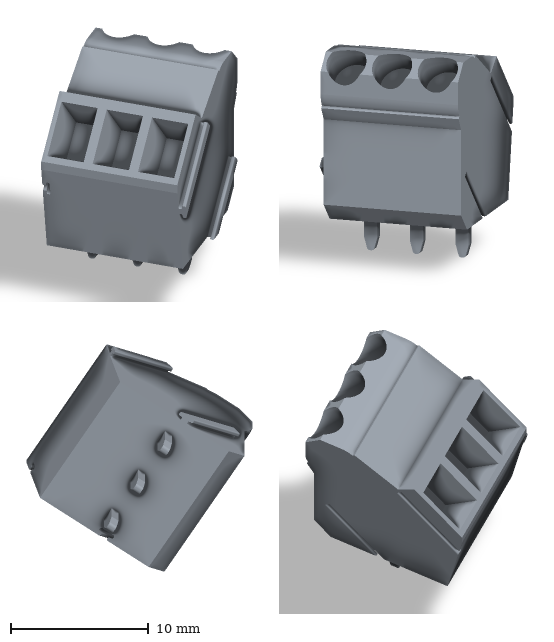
import cadquery as cq
import math


POLE_COUNT = 3
POLE_PITCH = 3.5
FIRST_POLE_X = 1.75
POLE_X = [FIRST_POLE_X + i * POLE_PITCH for i in range(POLE_COUNT)]

HOUSING_WIDTH = 10.51
HOUSING_SIZE = 12.7
BACK_WALL_Y = 12.0
BOTTOM_FRONT_Y = 1.18
BOTTOM_CHAMFER = 1.37
TOP_CORNER_CHAMFER = 1.21
FRONT_BAND_BOTTOM_Z = 6.84
FRONT_FACE_RISE = 3.86
FRONT_FACE_BOTTOM_Z = 7.5
VALLEY = (5.18, 10.41)
BULGE_START = 9.8
BULGE_END = (8.87, 12.42)
LIP_TIP = (8.71, 12.58)
LIP_SLOPE = 0.6

FUNNEL_MOUTH_WIDTH = 2.8
FUNNEL_MOUTH_LENGTH = 4.2
FUNNEL_FLOOR_WIDTH = 1.43
FUNNEL_FLOOR_LENGTH = 2.83
FUNNEL_DEPTH = 2.45
FUNNEL_MOUTH_Y = 1.83

SCREW_HOLE_DIAMETER = 2.99
SCREW_HOLE_DEPTH = 2.65

RAIL_HEIGHT = 0.59
RAIL_UNDERCUT = 0.29
RAIL_NECK_HALF = 0.19
RAIL_HEAD_HALF = 0.43
RAIL_FILLET = 0.1
RAIL_TOP_ENDS = [(5.1, 10.05), (10.92, 4.25)]

PIN_WIDTH = 1.0
PIN_THICKNESS = 0.6
PIN_Y = 6.22
PIN_LENGTH = 3.2
PIN_STRAIGHT = 2.23
PIN_TIP_WIDTH = 0.46
PIN_TIP_FILLET = 0.25


def swapped(point):
    """Mirror a (Y, Z) point about the diagonal plane Y = Z."""
    return (point[1], point[0])


def profile_prism(width):
    """The housing profile extruded from X = 0 to the given width."""
    bulge_start = (BULGE_START, HOUSING_SIZE)
    drop = HOUSING_SIZE - BULGE_END[1]
    run = BULGE_START - BULGE_END[0]
    bulge_radius = (run**2 + drop**2) / (2 * drop)
    half_angle = math.atan2(run, bulge_radius - drop) / 2
    bulge_middle = (
        BULGE_START - bulge_radius * math.sin(half_angle),
        HOUSING_SIZE - bulge_radius * (1 - math.cos(half_angle)),
    )
    corner_front = (HOUSING_SIZE - TOP_CORNER_CHAMFER, HOUSING_SIZE)
    back_lip_foot_z = LIP_TIP[0] - (LIP_TIP[1] - BACK_WALL_Y) / LIP_SLOPE
    return (
        cq.Workplane("YZ")
        .moveTo(BOTTOM_FRONT_Y, 0)
        .lineTo(BACK_WALL_Y - BOTTOM_CHAMFER, 0)
        .lineTo(BACK_WALL_Y, BOTTOM_CHAMFER)
        .lineTo(BACK_WALL_Y, back_lip_foot_z)
        .lineTo(*swapped(LIP_TIP))
        .lineTo(*swapped(BULGE_END))
        .threePointArc(swapped(bulge_middle), swapped(bulge_start))
        .lineTo(*swapped(corner_front))
        .lineTo(*corner_front)
        .lineTo(*bulge_start)
        .threePointArc(bulge_middle, BULGE_END)
        .lineTo(*LIP_TIP)
        .lineTo(*VALLEY)
        .lineTo(FRONT_FACE_RISE, FRONT_FACE_BOTTOM_Z + FRONT_FACE_RISE)
        .lineTo(0, FRONT_FACE_BOTTOM_Z)
        .lineTo(0, FRONT_BAND_BOTTOM_Z)
        .close()
        .extrude(width)
    )


def wire_funnel(pole_x):
    """Pyramid-shaped wire entry, narrowing inward from the 45 degree front face."""
    mouth_centre = (pole_x, FUNNEL_MOUTH_Y, FRONT_FACE_BOTTOM_Z + FUNNEL_MOUTH_Y)
    mouth = cq.Plane(origin=mouth_centre, xDir=(1, 0, 0), normal=(0, -1, 1))
    return (
        cq.Workplane(mouth)
        .rect(FUNNEL_MOUTH_WIDTH, FUNNEL_MOUTH_LENGTH)
        .workplane(offset=-FUNNEL_DEPTH)
        .rect(FUNNEL_FLOOR_WIDTH, FUNNEL_FLOOR_LENGTH)
        .loft(ruled=True)
    )


def screw_hole(pole_x):
    """Blind hole along the diagonal, long enough to clear the corner outside the chamfer."""
    chamfer_middle = HOUSING_SIZE - TOP_CORNER_CHAMFER / 2
    face = cq.Plane(origin=(pole_x, chamfer_middle, chamfer_middle), xDir=(1, 0, 0), normal=(0, 1, 1))
    return (
        cq.Workplane(face)
        .workplane(offset=-SCREW_HOLE_DEPTH)
        .circle(SCREW_HOLE_DIAMETER / 2)
        .extrude(2 * SCREW_HOLE_DEPTH)
    )


def rail(base_x, top_end):
    """T-shaped rail on the plane X = base_x, running down at 45 degrees past the housing edge."""
    end_plane = cq.Plane(origin=(base_x, *top_end), xDir=(1, 0, 0), normal=(0, 1, 1))
    r = RAIL_FILLET
    return (
        cq.Workplane(end_plane)
        .lineTo(0, RAIL_NECK_HALF + r)
        .radiusArc((r, RAIL_NECK_HALF), -r)
        .lineTo(RAIL_UNDERCUT - r, RAIL_NECK_HALF)
        .radiusArc((RAIL_UNDERCUT, RAIL_NECK_HALF + r), -r)
        .lineTo(RAIL_UNDERCUT, RAIL_HEAD_HALF - r)
        .radiusArc((RAIL_UNDERCUT + r, RAIL_HEAD_HALF), r)
        .lineTo(RAIL_HEIGHT - r, RAIL_HEAD_HALF)
        .radiusArc((RAIL_HEIGHT, RAIL_HEAD_HALF - r), r)
        .lineTo(RAIL_HEIGHT, 0)
        .mirrorX()
        .extrude(-HOUSING_SIZE)
    )


def make_housing():
    housing = profile_prism(HOUSING_WIDTH)
    rail_limits = profile_prism(HOUSING_WIDTH + RAIL_HEIGHT)
    for top_end in RAIL_TOP_ENDS:
        housing = housing.cut(rail(0, top_end))
        housing = housing.union(rail(HOUSING_WIDTH, top_end).intersect(rail_limits))
    for pole_x in POLE_X:
        housing = housing.cut(wire_funnel(pole_x))
        housing = housing.cut(screw_hole(pole_x))
    return housing


def make_pin(pole_x):
    """Flat pin below the housing, tapering to a rounded tip."""
    return (
        cq.Workplane("XZ", origin=(pole_x, PIN_Y, 0))
        .moveTo(-PIN_WIDTH / 2, 0)
        .lineTo(PIN_WIDTH / 2, 0)
        .lineTo(PIN_WIDTH / 2, -PIN_STRAIGHT)
        .lineTo(PIN_TIP_WIDTH / 2, -PIN_LENGTH)
        .lineTo(-PIN_TIP_WIDTH / 2, -PIN_LENGTH)
        .lineTo(-PIN_WIDTH / 2, -PIN_STRAIGHT)
        .close()
        .extrude(PIN_THICKNESS / 2, both=True)
        .faces("<Z")
        .edges("|Y")
        .fillet(PIN_TIP_FILLET)
    )


housing = make_housing()
pins = [make_pin(pole_x) for pole_x in POLE_X]

result = cq.Compound.makeCompound([housing.val(), *[pin.val() for pin in pins]])